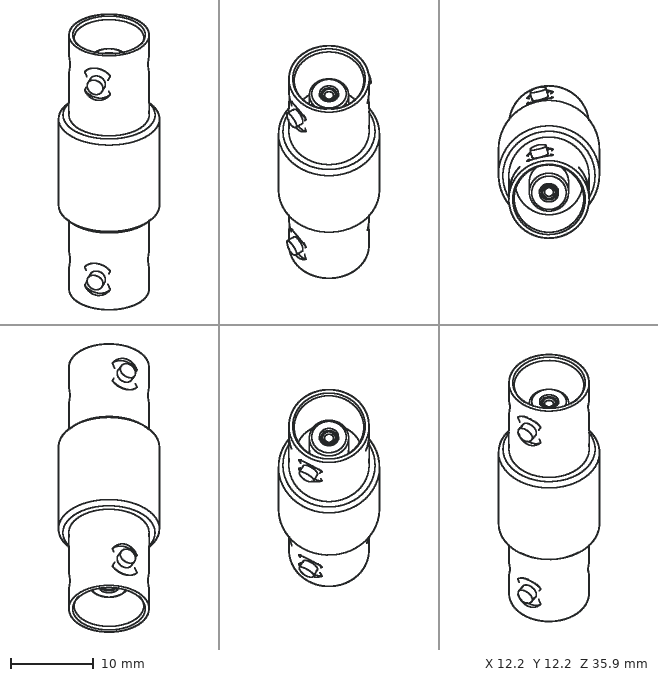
import cadquery as cq

length = 35.9
half_length = length / 2

collar_radius = 6.1
collar_chamfer = 0.55
barrel_length = 11.3
collar_half_length = half_length - barrel_length

barrel_radius = 4.85
groove_centre_depth = 4.15
groove_half_width = 1.3
groove_depth = 0.125
pin_height = half_length - groove_centre_depth

pin_radius = 1.0
pin_reach = 5.6
spot_radius = 2.1
spot_wall_angle = 30.0
spot_face_reach = 4.55
spot_cut_depth = barrel_radius - spot_face_reach

mouth_radius = 4.38
throat_radius = 4.2
throat_depth = 0.4
floor_radius = 4.1
socket_depth = 8.4

insulator_radius = 2.37
insulator_chamfer = 0.3
insulator_face_depth = 3.2
insulator_hole_radius = 1.15

contact_radius = 0.95
contact_hole_radius = 0.55
contact_countersink_radius = 0.75
contact_countersink_angle = 90.0
contact_face_depth = 3.35
contact_hole_depth = 5.03


def make_collar():
    collar = (
        cq.Workplane("XY", origin=(0, 0, -collar_half_length))
        .circle(collar_radius)
        .extrude(2 * collar_half_length)
    )
    return collar.faces("<Z or >Z").chamfer(collar_chamfer)


def make_barrel():
    """Upper barrel as a revolved outline, with the groove as a hollow arc."""
    outline = (
        cq.Workplane("XZ")
        .lineTo(barrel_radius, 0)
        .lineTo(barrel_radius, pin_height - groove_half_width)
        .threePointArc(
            (barrel_radius - groove_depth, pin_height),
            (barrel_radius, pin_height + groove_half_width),
        )
        .lineTo(barrel_radius, half_length)
        .lineTo(0, half_length)
        .close()
    )
    return outline.revolve(360, (0, 0, 0), (0, 1, 0))


def make_socket():
    """Space between the barrel bore and the insulator, open at the top end."""
    floor = half_length - socket_depth
    face = half_length - insulator_face_depth
    outline = (
        cq.Workplane("XZ")
        .moveTo(0, half_length)
        .lineTo(mouth_radius, half_length)
        .lineTo(throat_radius, half_length - throat_depth)
        .lineTo(floor_radius, floor)
        .lineTo(insulator_radius, floor)
        .lineTo(insulator_radius, face - insulator_chamfer)
        .lineTo(insulator_radius - insulator_chamfer, face)
        .lineTo(0, face)
        .close()
    )
    return outline.revolve(360, (0, 0, 0), (0, 1, 0))


def make_insulator_hole():
    return (
        cq.Workplane("XY", origin=(0, 0, half_length - socket_depth))
        .circle(insulator_hole_radius)
        .extrude(socket_depth - insulator_face_depth)
    )


def make_contact():
    contact = (
        cq.Workplane("XY", origin=(0, 0, half_length - socket_depth))
        .circle(contact_radius)
        .extrude(socket_depth - contact_face_depth)
    )
    return contact.faces(">Z").workplane().cskHole(
        2 * contact_hole_radius,
        2 * contact_countersink_radius,
        contact_countersink_angle,
        contact_hole_depth,
    )


def make_spot_face(side):
    """Cutter for a round spot face with a flaring wall, on the -Y or +Y side."""
    return (
        cq.Workplane("XZ", origin=(0, side * spot_face_reach, pin_height))
        .circle(spot_radius)
        .extrude(-side * spot_cut_depth, taper=-spot_wall_angle)
    )


def make_pins():
    """Rod across the barrel, its ends rounded concentric with the barrel."""
    rod = (
        cq.Workplane("XZ", origin=(0, 0, pin_height))
        .circle(pin_radius)
        .extrude(collar_radius, both=True)
    )
    end_envelope = (
        cq.Workplane("XY", origin=(0, 0, pin_height - pin_radius))
        .circle(pin_reach)
        .extrude(2 * pin_radius)
    )
    return rod.intersect(end_envelope)


def make_end():
    """Upper half of the connector, without the collar."""
    end = make_barrel()
    for side in (-1, 1):
        end = end.cut(make_spot_face(side))
    end = end.union(make_pins())
    return end.cut(make_socket()).cut(make_insulator_hole()).union(make_contact())


upper_end = make_end()
lower_end = upper_end.mirror("XY")
collar = make_collar()
result = upper_end.union(lower_end).union(collar)